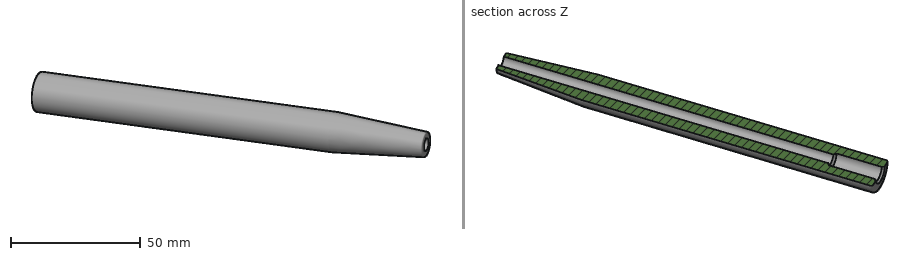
import cadquery as cq

LENGTH = 160.0
BODY_RADIUS = 15.88 / 2
BACK_FILLET = 1.0

NOSE_LENGTH = 37.5
TIP_RADIUS = 5.0
TIP_FILLET = 0.5

BORE_RADIUS = 2.5
SOCKET_RADIUS = 3.5
SOCKET_DEPTH = 20.0
MOUTH_RADIUS = 4.1
MOUTH_DEPTH = 1.0
FLOOR_CONE_DEPTH = SOCKET_RADIUS - BORE_RADIUS

BACK_X = -LENGTH / 2
TIP_X = LENGTH / 2
NOSE_X = TIP_X - NOSE_LENGTH


def revolve_about_x(outline):
    """Revolve a closed outline of (x, radius) points a full turn about the X axis."""
    profile = cq.Workplane("XY").polyline(outline).close()
    return profile.revolve(360, (0, 0, 0), (1, 0, 0))


def make_rod():
    """Solid cylinder with a tapered nose and both end rims rounded."""
    rod = revolve_about_x([
        (BACK_X, 0),
        (BACK_X, BODY_RADIUS),
        (NOSE_X, BODY_RADIUS),
        (TIP_X, TIP_RADIUS),
        (TIP_X, 0),
    ])
    rod = rod.faces("<X").edges().fillet(BACK_FILLET)
    return rod.faces(">X").edges().fillet(TIP_FILLET)


def make_bore():
    """Cutter for the countersunk socket in the back end and the through hole."""
    socket_end_x = BACK_X + SOCKET_DEPTH
    return revolve_about_x([
        (BACK_X, 0),
        (BACK_X, MOUTH_RADIUS),
        (BACK_X + MOUTH_DEPTH, SOCKET_RADIUS),
        (socket_end_x, SOCKET_RADIUS),
        (socket_end_x + FLOOR_CONE_DEPTH, BORE_RADIUS),
        (TIP_X, BORE_RADIUS),
        (TIP_X, 0),
    ])


result = make_rod().cut(make_bore())